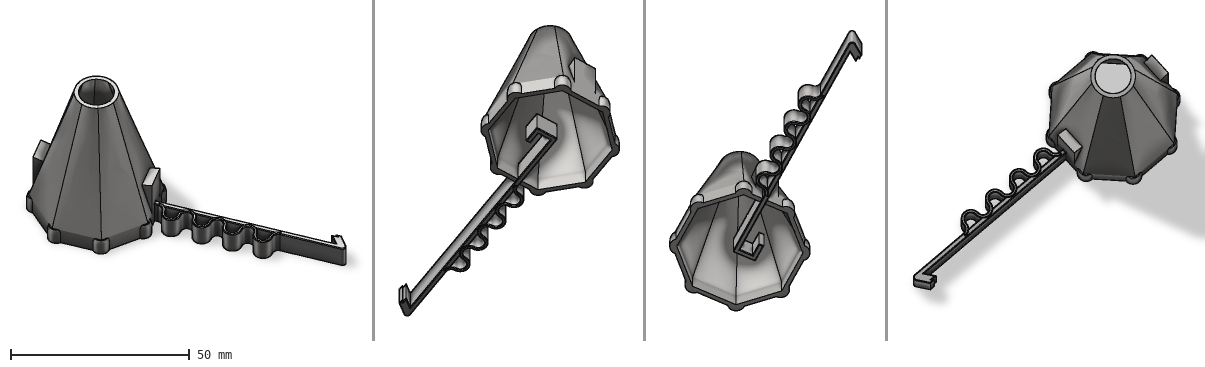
import cadquery as cq
import math

SIDES = 8
BASE_RADIUS = 19.0
BASE_HEIGHT = 5.0
HOUSING_HEIGHT = 45.0
MOUTH_RADIUS = 6.25
WALL = 1.25
HALF_SECTOR = math.pi / SIDES
BASE_APOTHEM = BASE_RADIUS * math.cos(HALF_SECTOR)

POST_RADIUS = 2.5
POST_REACH = 18.34
POST_CENTER_RADIUS = (POST_REACH - POST_RADIUS) / math.cos(HALF_SECTOR)
POST_SHOULDER = 3.0
POST_TOP_RADIUS = 2.13

TAB_WIDTH = 7.0
TAB_HEIGHT = 16.5
TAB_DEPTH = 5.0
TAB_TOP_DROP = TAB_DEPTH * (BASE_APOTHEM - MOUTH_RADIUS) / (HOUSING_HEIGHT - BASE_HEIGHT)

STRAP_HEIGHT = 7.0
BAR_THICKNESS = 1.5
EDGE_CHAMFER = 0.25
RETURN_GAP = 4.0
RETURN_LENGTH = 4.0
RETURN_CORNER_RADIUS = 0.5
STRAP_END = 73.62
HOOK_CORNER_RADIUS = 1.0
HOOK_TILT = math.atan2(4, 3)
HOOK_THICKNESS = 2.5
HOOK_TIP_Y = 3.3
HOOK_STEP_Y = 2.75

WAVE_COUNT = 4
WAVE_THICKNESS = 1.0
LOOP_DIAMETER = 3.5
WAVE_START_X = 18.6
BEND_RADIUS = (LOOP_DIAMETER + WAVE_THICKNESS) / 2
WAVE_PITCH = 4 * BEND_RADIUS
WAVE_END_X = WAVE_START_X + WAVE_COUNT * WAVE_PITCH
BEND_CENTER_Y = -BAR_THICKNESS - LOOP_DIAMETER / 2


def polar(radius, angle):
    return (radius * math.cos(angle), radius * math.sin(angle))


def corner_angle(index):
    return (2 * index + 1) * HALF_SECTOR


def octagon_wire(radius, height):
    points = [cq.Vector(*polar(radius, corner_angle(i)), height) for i in range(SIDES)]
    return cq.Wire.makePolygon(points, close=True)


def circle_wire(radius, height):
    """Circle made of one arc per octagon side, so that a loft matches corners to arc ends."""
    arcs = []
    for i in range(SIDES):
        angles = (corner_angle(i), corner_angle(i) + HALF_SECTOR, corner_angle(i + 1))
        points = [cq.Vector(*polar(radius, angle), height) for angle in angles]
        arcs.append(cq.Edge.makeThreePointArc(*points))
    return cq.Wire.assembleEdges(arcs)


def tapered_form(inset):
    """Solid octagonal prism below a loft to a circle, moved inwards by `inset` on every side."""
    radius = BASE_RADIUS - inset / math.cos(HALF_SECTOR)
    prism = cq.Solid.extrudeLinear(octagon_wire(radius, 0), [], cq.Vector(0, 0, BASE_HEIGHT))
    mouth = circle_wire(MOUTH_RADIUS - inset, HOUSING_HEIGHT)
    taper = cq.Solid.makeLoft([octagon_wire(radius, BASE_HEIGHT), mouth], True)
    return cq.Workplane(prism).union(cq.Workplane(taper))


def make_post(angle):
    """Round post whose upper part curves inwards, tangent to its straight side."""
    profile = (
        cq.Workplane("XZ")
        .lineTo(POST_RADIUS, 0)
        .lineTo(POST_RADIUS, POST_SHOULDER)
        .tangentArcPoint((POST_TOP_RADIUS, BASE_HEIGHT), relative=False)
        .lineTo(0, BASE_HEIGHT)
        .close()
    )
    post = profile.revolve(360, (0, 0, 0), (0, 1, 0))
    return post.translate((*polar(POST_CENTER_RADIUS, angle), 0))


def make_tab(side):
    """Tab flush with the base flat, its top square to the sloping wall; side is -1 or +1."""
    inner_x = BASE_APOTHEM - TAB_DEPTH
    outline = [
        (side * BASE_APOTHEM, 0),
        (side * BASE_APOTHEM, TAB_HEIGHT),
        (side * inner_x, TAB_HEIGHT - TAB_TOP_DROP),
        (side * inner_x, 0),
    ]
    return cq.Workplane("XZ").polyline(outline).close().extrude(TAB_WIDTH / 2, both=True)


def make_housing():
    body = tapered_form(0)
    for side in (-1, 1):
        body = body.union(make_tab(side))
    for i in range(SIDES):
        body = body.union(make_post(corner_angle(i)))
    body = body.cut(tapered_form(WALL))
    slot = cq.Workplane("XY").box(BASE_RADIUS, BAR_THICKNESS, STRAP_HEIGHT, centered=False)
    return body.cut(slot.translate((0, -BAR_THICKNESS, 0)))


def chamfer_rims(body):
    return body.faces("|Z").edges().chamfer(EDGE_CHAMFER)


def make_bar():
    along = (-math.cos(HOOK_TILT), math.sin(HOOK_TILT))
    outward = (math.sin(HOOK_TILT), math.cos(HOOK_TILT))
    corner_x = STRAP_END - HOOK_CORNER_RADIUS
    corner_y = HOOK_CORNER_RADIUS - BAR_THICKNESS

    def hook_point(depth, y):
        """Point at this y on the line `depth` inside the hook's outer side."""
        offset = HOOK_CORNER_RADIUS - depth
        start_x = corner_x + offset * outward[0]
        start_y = corner_y + offset * outward[1]
        return (start_x + (y - start_y) * along[0] / along[1], y)

    arc_end = (
        corner_x + HOOK_CORNER_RADIUS * outward[0],
        corner_y + HOOK_CORNER_RADIUS * outward[1],
    )
    return_outer_y = RETURN_GAP + BAR_THICKNESS
    bar = (
        cq.Workplane("XY")
        .moveTo(RETURN_CORNER_RADIUS - BAR_THICKNESS, -BAR_THICKNESS)
        .lineTo(corner_x, -BAR_THICKNESS)
        .tangentArcPoint(arc_end, relative=False)
        .lineTo(*hook_point(0, HOOK_TIP_Y))
        .lineTo(*hook_point(HOOK_THICKNESS / 2, HOOK_TIP_Y))
        .lineTo(*hook_point(HOOK_THICKNESS / 2, HOOK_STEP_Y))
        .lineTo(*hook_point(HOOK_THICKNESS, HOOK_STEP_Y))
        .lineTo(*hook_point(HOOK_THICKNESS, 0))
        .lineTo(0, 0)
        .lineTo(0, RETURN_GAP)
        .lineTo(RETURN_LENGTH, RETURN_GAP)
        .lineTo(RETURN_LENGTH, return_outer_y)
        .lineTo(-BAR_THICKNESS, return_outer_y)
        .lineTo(-BAR_THICKNESS, RETURN_CORNER_RADIUS - BAR_THICKNESS)
        .tangentArcPoint((RETURN_CORNER_RADIUS - BAR_THICKNESS, -BAR_THICKNESS), relative=False)
        .close()
        .extrude(STRAP_HEIGHT)
    )
    return chamfer_rims(bar)


def wave_side(sketch, offset, direction):
    """Add one long side of the wave, `offset` towards +Y from its centre line.

    `direction` is +1 to run along +X and -1 to run back along -X.
    """
    crest_radius = BEND_RADIUS + offset
    trough_radius = BEND_RADIUS - offset
    crest_y = BEND_CENTER_Y + crest_radius
    trough_y = BEND_CENTER_Y - trough_radius
    start_x = WAVE_START_X if direction > 0 else WAVE_END_X
    eighth_turn = crest_radius * math.sqrt(0.5)
    eighth_y = BEND_CENTER_Y + eighth_turn
    for i in range(WAVE_COUNT):
        crest_x = start_x + direction * i * WAVE_PITCH
        trough_x = crest_x + direction * WAVE_PITCH / 2
        next_crest_x = crest_x + direction * WAVE_PITCH
        sketch = (
            sketch.threePointArc(
                (crest_x + direction * eighth_turn, eighth_y),
                (crest_x + direction * crest_radius, BEND_CENTER_Y),
            )
            .threePointArc(
                (trough_x, trough_y),
                (trough_x + direction * trough_radius, BEND_CENTER_Y),
            )
            .threePointArc(
                (next_crest_x - direction * eighth_turn, eighth_y),
                (next_crest_x, crest_y),
            )
        )
    return sketch


def make_wave():
    half = WAVE_THICKNESS / 2
    crest_y = BEND_CENTER_Y + BEND_RADIUS
    sketch = cq.Workplane("XY").moveTo(WAVE_START_X, crest_y + half)
    sketch = wave_side(sketch, half, 1).lineTo(WAVE_END_X, crest_y - half)
    sketch = wave_side(sketch, -half, -1).close()
    return chamfer_rims(sketch.extrude(STRAP_HEIGHT))


housing = make_housing()
wave = make_wave()
bar = make_bar().cut(wave)

result = cq.Compound.makeCompound([*housing.solids().vals(), *bar.solids().vals(), *wave.solids().vals()])